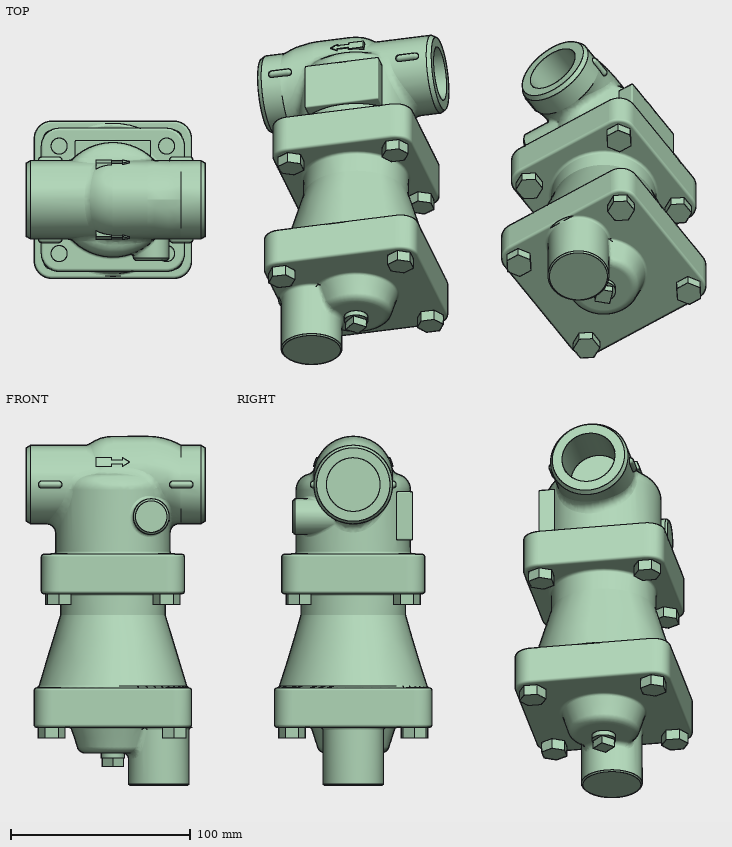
import cadquery as cq
import math


PIPE_RADIUS = 22.0
PIPE_LEFT = -48.4
PIPE_LENGTH = 100.0
PIPE_RIGHT = PIPE_LEFT + PIPE_LENGTH
LEFT_PIPE_INNER_END = 3.0
BORE_RADIUS = 15.0
BORE_DEPTH = 28.0
END_BEVEL_LENGTH = 2.5
END_BEVEL_HEIGHT = 1.5
HUMP_RISE = 5.0
HUMP_END = 19.4
SLOPE_END = 38.0
SLOPE_SECTIONS = 6

PIP_RADIUS = 2.0
PIP_LENGTH = 13.2
PIP_CENTERS = (-35.0, 38.2)

BODY_RADIUS = 32.0
BODY_TOP = 6.0
DOME_RADIUS = 9.0
BLEND_RADIUS = 5.0

UPPER_FLANGE_SIZE = 80.0
LOWER_FLANGE_SIZE = 88.0
FLANGE_THICKNESS = 22.1
UPPER_FLANGE_TOP = -38.9
UPPER_FLANGE_BOTTOM = UPPER_FLANGE_TOP - FLANGE_THICKNESS
LOWER_FLANGE_TOP = -113.5
LOWER_FLANGE_BOTTOM = LOWER_FLANGE_TOP - FLANGE_THICKNESS
FLANGE_CORNER = 10.0
FLANGE_EDGE = 1.5
ROOT_RADIUS = 1.5

BOLT_DIAMETER = 9.0
BOLT_TIP = 0.3
HEAD_ACROSS_FLATS = 13.0
HEAD_HEIGHT = 6.0
UPPER_BOLT_OFFSET = 30.0
LOWER_BOLT_OFFSET = 34.2
HEAD_TURN = 30.0
CORNERS = ((-1, -1), (1, -1), (-1, 1), (1, 1))

NECK_RADIUS = 29.3
NECK_BOTTOM = -73.0
CONE_RADIUS = 41.6
CONE_TAPER = (CONE_RADIUS - NECK_RADIUS) / (NECK_BOTTOM - LOWER_FLANGE_TOP)

CAP_TOP_RADIUS = 23.5
CAP_BOTTOM_RADIUS = 18.8
CAP_BOTTOM = -150.0
CAP_TAPER = (CAP_TOP_RADIUS - CAP_BOTTOM_RADIUS) / (LOWER_FLANGE_BOTTOM - CAP_BOTTOM)
CAP_EDGE = 5.0

OUTLET_RADIUS = 17.0
OUTLET_X = 25.6
OUTLET_BOTTOM = -168.0
OUTLET_BEVEL = 0.8
OUTLET_BLEND = 3.0
SEAM_MARGIN = 1.0

PLUG_COLLAR_RADIUS = 6.6
PLUG_COLLAR_BOTTOM = -152.8
PLUG_HEAD_DIAGONAL = 12.0
PLUG_HEAD_BOTTOM = -157.5

BOSS_RADIUS = 10.0
BOSS_X = 21.4
BOSS_Z = -17.9
BOSS_FACE = -33.8
BOSS_EDGE = 1.2
BOSS_ROOT = 1.5

PAD_WIDTH = 42.2
PAD_TOP = -4.0
PAD_BOTTOM = -31.0
PAD_BACK = 33.2
PAD_FRONT = 24.0
PAD_EDGE = 0.8

ARROW_Z = 12.6
ARROW_START = -9.4
ARROW_TAIL_END = -0.9
ARROW_HEAD_START = 5.5
ARROW_TIP = 9.4
ARROW_TAIL_HEIGHT = 4.8
ARROW_SHAFT_HEIGHT = 2.4
ARROW_RELIEF = 0.8
ARROW_ROOT = 4.0


def upright_cylinder(radius, bottom, top, x=0.0, y=0.0):
    return cq.Workplane("XY", origin=(x, y, bottom)).circle(radius).extrude(top - bottom)


def slope_rise(x):
    """Height of the hump's axis along the arc that runs down to the pipe axis."""
    run = SLOPE_END - HUMP_END
    arc_radius = (run**2 + HUMP_RISE**2) / (2 * HUMP_RISE)
    return HUMP_RISE - arc_radius + math.sqrt(arc_radius**2 - (x - HUMP_END) ** 2)


def bevelled_pipe(outer_end, inner_end):
    """Pipe length along X whose outer end is bevelled for welding."""
    direction = math.copysign(1.0, inner_end - outer_end)
    profile = [
        (outer_end, 0),
        (outer_end, PIPE_RADIUS - END_BEVEL_HEIGHT),
        (outer_end + direction * END_BEVEL_LENGTH, PIPE_RADIUS),
        (inner_end, PIPE_RADIUS),
        (inner_end, 0),
    ]
    return cq.Workplane("XZ").polyline(profile).close().revolve(360, (0, 0), (1, 0))


def raised_pipe():
    """Ball end, raised straight length and slope down to the right-hand pipe end."""
    ball_and_straight = (
        cq.Workplane("XZ", origin=(0, 0, HUMP_RISE))
        .moveTo(-PIPE_RADIUS, 0)
        .radiusArc((0, PIPE_RADIUS), PIPE_RADIUS)
        .lineTo(HUMP_END, PIPE_RADIUS)
        .lineTo(HUMP_END, 0)
        .close()
        .revolve(360, (0, 0), (1, 0))
    )
    section_spacing = (SLOPE_END - HUMP_END) / (SLOPE_SECTIONS - 1)
    sections = []
    for i in range(SLOPE_SECTIONS):
        x = HUMP_END + i * section_spacing
        center = cq.Vector(x, 0, slope_rise(x))
        sections.append(cq.Wire.makeCircle(PIPE_RADIUS, center, cq.Vector(1, 0, 0)))
    slope = cq.Workplane(cq.Solid.makeLoft(sections))
    return ball_and_straight.union(slope).union(bevelled_pipe(PIPE_RIGHT, SLOPE_END))


def domed_body():
    body = upright_cylinder(BODY_RADIUS, UPPER_FLANGE_TOP, BODY_TOP)
    return body.faces(">Z").edges().fillet(DOME_RADIUS)


def upper_body():
    """Domed body with the through pipe blended into it."""
    left_pipe = bevelled_pipe(PIPE_LEFT, LEFT_PIPE_INNER_END)
    body = domed_body().union(raised_pipe()).union(left_pipe)
    seam_region = cq.selectors.BoxSelector(
        (-BODY_RADIUS, -BODY_RADIUS, -PIPE_RADIUS - BLEND_RADIUS),
        (BODY_RADIUS, BODY_RADIUS, PIPE_RADIUS),
    )
    return body.edges(seam_region).fillet(BLEND_RADIUS)


def cut_bores(body):
    """Blind bore in each end of the through pipe."""
    for face_x, direction in ((PIPE_LEFT, 1), (PIPE_RIGHT, -1)):
        bore = cq.Workplane("YZ", origin=(face_x, 0, 0)).circle(BORE_RADIUS).extrude(direction * BORE_DEPTH)
        body = body.cut(bore)
    return body


def index_pips():
    pips = cq.Workplane("XY")
    half_straight = PIP_LENGTH / 2 - PIP_RADIUS
    for x in PIP_CENTERS:
        for side in (-1, 1):
            pip = (
                cq.Workplane("XY", origin=(x, side * PIPE_RADIUS, 0))
                .moveTo(-half_straight - PIP_RADIUS, 0)
                .radiusArc((-half_straight, PIP_RADIUS), PIP_RADIUS)
                .lineTo(half_straight, PIP_RADIUS)
                .radiusArc((half_straight + PIP_RADIUS, 0), PIP_RADIUS)
                .close()
                .revolve(360, (0, 0), (1, 0))
            )
            pips = pips.union(pip)
    return pips


def flow_arrow():
    """Raised flow arrow with a broad tail, on both sides of the pipe."""
    tail_half = ARROW_TAIL_HEIGHT / 2
    shaft_half = ARROW_SHAFT_HEIGHT / 2
    upper_outline = [
        (ARROW_START, tail_half),
        (ARROW_TAIL_END, tail_half),
        (ARROW_TAIL_END, shaft_half),
        (ARROW_HEAD_START, shaft_half),
        (ARROW_HEAD_START, tail_half),
    ]
    lower_outline = [(x, -z) for x, z in reversed(upper_outline)]
    outline = upper_outline + [(ARROW_TIP, 0)] + lower_outline
    slab = (
        cq.Workplane("XZ", origin=(0, 0, ARROW_Z))
        .polyline(outline)
        .close()
        .extrude(PIPE_RADIUS + ARROW_RELIEF, both=True)
    )
    shell = (
        cq.Workplane("YZ", origin=(ARROW_START, 0, HUMP_RISE))
        .circle(PIPE_RADIUS + ARROW_RELIEF)
        .circle(PIPE_RADIUS - ARROW_ROOT)
        .extrude(ARROW_TIP - ARROW_START)
    )
    return slab.intersect(shell)


def add_side_boss(body):
    """Round boss that faces the front, with a fillet where it meets the body."""
    boss = cq.Workplane("XZ", origin=(BOSS_X, 0, BOSS_Z)).circle(BOSS_RADIUS).extrude(-BOSS_FACE)
    boss = boss.faces("<Y").edges().chamfer(BOSS_EDGE)
    joined = body.union(boss)
    wall_y = -math.sqrt(BODY_RADIUS**2 - BOSS_X**2)
    root = cq.selectors.NearestToPointSelector((BOSS_X, wall_y, BOSS_Z))
    return joined.edges(root).fillet(BOSS_ROOT)


def name_plate_pad():
    pad = (
        cq.Workplane("XY", origin=(0, (PAD_FRONT + PAD_BACK) / 2, PAD_BOTTOM))
        .rect(PAD_WIDTH, PAD_BACK - PAD_FRONT)
        .extrude(PAD_TOP - PAD_BOTTOM)
    )
    return pad.edges("not <Y").fillet(PAD_EDGE)


def flange_plate(size, top):
    """Square flange pair with rounded corners and rounded top and bottom edges."""
    plate = cq.Workplane("XY", origin=(0, 0, top)).rect(size, size).extrude(-FLANGE_THICKNESS)
    plate = plate.edges("|Z").fillet(FLANGE_CORNER)
    return plate.faces("<Z or >Z").edges().fillet(FLANGE_EDGE)


def root_fillet(radius, z_face, direction, taper=0.0, x=0.0):
    """Ring with a concave rounding that runs a round wall out onto a flange face.

    The wall leaves the face in the given Z direction; taper is its radius loss per unit of height.
    """
    slant = math.hypot(1.0, taper)
    face_radius = radius + ROOT_RADIUS * (slant - taper)
    wall_radius = face_radius - ROOT_RADIUS / slant
    z_wall = z_face + direction * ROOT_RADIUS * (1.0 - taper / slant)
    inner_radius = radius - 2 * ROOT_RADIUS
    return (
        cq.Workplane("XZ", origin=(x, 0, 0))
        .moveTo(inner_radius, z_face)
        .lineTo(face_radius, z_face)
        .radiusArc((wall_radius, z_wall), direction * ROOT_RADIUS)
        .lineTo(inner_radius, z_wall)
        .close()
        .revolve(360, (0, 0), (0, 1))
    )


def bolts(offset, joint_top, joint_bottom, turned_side):
    """Four bolts with tips just above the joint and hexagon heads below it.

    Heads on one diagonal are turned: turned_side is the sign of x * y there.
    """
    head_diagonal = HEAD_ACROSS_FLATS / math.cos(math.pi / 6)
    bolt_set = cq.Workplane("XY")
    for x_side, y_side in CORNERS:
        angle = HEAD_TURN if x_side * y_side == turned_side else 0
        x = x_side * offset
        y = y_side * offset
        shank = upright_cylinder(BOLT_DIAMETER / 2, joint_bottom, joint_top + BOLT_TIP, x, y)
        head = (
            cq.Workplane("XY", origin=(x, y, joint_bottom))
            .transformed(rotate=(0, 0, angle))
            .polygon(6, head_diagonal)
            .extrude(-HEAD_HEIGHT)
        )
        bolt_set = bolt_set.union(shank).union(head)
    return bolt_set


def joint(size, top, bolt_offset, turned_side):
    """Square flange pair with its four bolts."""
    bottom = top - FLANGE_THICKNESS
    return flange_plate(size, top).union(bolts(bolt_offset, top, bottom, turned_side))


def conical_housing():
    profile = [
        (0, UPPER_FLANGE_BOTTOM),
        (NECK_RADIUS, UPPER_FLANGE_BOTTOM),
        (NECK_RADIUS, NECK_BOTTOM),
        (CONE_RADIUS, LOWER_FLANGE_TOP),
        (0, LOWER_FLANGE_TOP),
    ]
    return cq.Workplane("XZ").polyline(profile).close().revolve(360, (0, 0), (0, 1))


def bottom_cap():
    """Tapered cap with the outlet tube blended into its side."""
    profile = [
        (0, LOWER_FLANGE_BOTTOM),
        (CAP_TOP_RADIUS, LOWER_FLANGE_BOTTOM),
        (CAP_BOTTOM_RADIUS, CAP_BOTTOM),
        (0, CAP_BOTTOM),
    ]
    cap = cq.Workplane("XZ").polyline(profile).close().revolve(360, (0, 0), (0, 1))
    cap = cap.faces("<Z").edges().fillet(CAP_EDGE)
    tube = upright_cylinder(OUTLET_RADIUS, OUTLET_BOTTOM, LOWER_FLANGE_BOTTOM, OUTLET_X)
    tube = tube.faces("<Z").edges().chamfer(OUTLET_BEVEL)
    both = cap.union(tube)
    seam_region = cq.selectors.BoxSelector(
        (OUTLET_X - OUTLET_RADIUS - SEAM_MARGIN, -OUTLET_RADIUS, CAP_BOTTOM - SEAM_MARGIN),
        (OUTLET_X, OUTLET_RADIUS, LOWER_FLANGE_BOTTOM - SEAM_MARGIN),
    )
    return both.edges(seam_region).fillet(OUTLET_BLEND)


def drain_plug():
    collar = upright_cylinder(PLUG_COLLAR_RADIUS, PLUG_COLLAR_BOTTOM, CAP_BOTTOM)
    head = (
        cq.Workplane("XY", origin=(0, 0, PLUG_HEAD_BOTTOM))
        .polygon(4, PLUG_HEAD_DIAGONAL)
        .extrude(CAP_BOTTOM - PLUG_HEAD_BOTTOM)
    )
    return collar.union(head)


result = upper_body()
result = add_side_boss(result)
result = result.union(name_plate_pad())
result = result.union(joint(UPPER_FLANGE_SIZE, UPPER_FLANGE_TOP, UPPER_BOLT_OFFSET, turned_side=1))
result = result.union(root_fillet(BODY_RADIUS, UPPER_FLANGE_TOP, 1))
result = result.union(conical_housing())
result = result.union(root_fillet(NECK_RADIUS, UPPER_FLANGE_BOTTOM, -1))
result = result.union(joint(LOWER_FLANGE_SIZE, LOWER_FLANGE_TOP, LOWER_BOLT_OFFSET, turned_side=-1))
result = result.union(root_fillet(CONE_RADIUS, LOWER_FLANGE_TOP, 1, CONE_TAPER))
result = result.union(bottom_cap())
result = result.union(root_fillet(CAP_TOP_RADIUS, LOWER_FLANGE_BOTTOM, -1, CAP_TAPER))
result = result.union(root_fillet(OUTLET_RADIUS, LOWER_FLANGE_BOTTOM, -1, x=OUTLET_X))
result = result.union(drain_plug())
result = result.union(index_pips())
result = result.union(flow_arrow())
result = cut_bores(result)